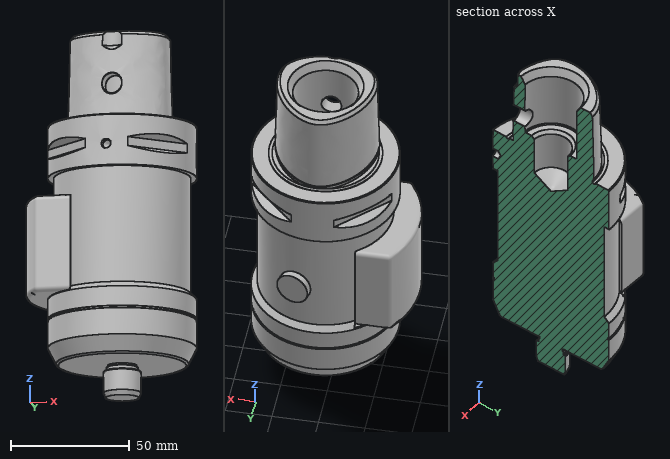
import cadquery as cq
import math


flange_radius = 31.5
flange_edge = 0.4
flange_bottom = -22.0
barrel_radius = 28.95
barrel_bottom = -71.9
collar_top = -74.3
groove_top = -82.7
groove_bottom = -83.6
groove_radius = 30.9
nut_cone_top = -95.0
nut_cone_bottom = -101.7
nut_cone_radius = 28.0
nut_bottom = -102.4
nut_face_radius = 27.0

neck_radius = 6.7
neck_groove_radius = 6.2
neck_groove_bottom = -103.1
neck_groove_edge = 0.3
stub_radius = 8.0
stub_top = -104.9
stub_bottom = -116.3
stub_top_chamfer = 0.5
stub_chamfer_height = 2.1
stub_end_radius = 7.1

shank_height = 38.0
shank_base_radius = 22.1
shank_taper = 0.025
lobe_height = 1.35
shank_tip_height = 1.6
shank_tip_inset = 1.3
undercut_height = 1.8
undercut_depth = 0.3
undercut_top_radius = 23.4
undercut_root_radius = 22.3
root_overlap = 1.0
curve_points = 48

face_groove_inner = 22.6
face_groove_outer = 24.1

mouth_radius = 16.1
mouth_depth = 3.5
bore_radius = 13.9
bore_floor = 8.0
bore_floor_chamfer = 0.5
screw_hole_radius = 9.0
screw_hole_edge = 1.4
screw_hole_floor = -12.0
drill_half_angle = math.radians(59)

notch_radius = 6.0
notch_axis_y = -24.0
notch_floor = 31.9
side_hole_radius = 4.3
side_hole_z = 15.4
side_hole_sink_distance = 20.1
pin_hole_radius = 2.0
pin_hole_z = -12.8
pin_hole_depth = 3.0

gripper_z = -12.0
gripper_floor = 27.8
gripper_floor_width = 3.8
gripper_mouth_width = 7.8
gripper_angles = (45, 135, 225, 315)

pad_radius = 40.6
pad_flat_x = -40.5
pad_half_width = 24.5
pad_top = -32.4
pad_bottom = -73.9
pad_end_x = -17.1
pad_fillet = 2.1

button_radius = 7.1
button_face = 32.66
button_back = 29.5
button_stem_radius = 4.5
button_angle = 75
button_z = -50.9


def revolve(profile):
    """Turn an (r, z) outline around the Z axis."""
    return cq.Workplane("XZ").polyline(profile).close().revolve(360, (0, 0, 0), (0, 1, 0))


def turned_body():
    edge = flange_edge
    return revolve([
        (0, 0),
        (flange_radius - edge, 0),
        (flange_radius, -edge),
        (flange_radius, flange_bottom),
        (barrel_radius, flange_bottom),
        (barrel_radius, barrel_bottom),
        (flange_radius, collar_top),
        (flange_radius, groove_top),
        (groove_radius, groove_top),
        (groove_radius, groove_bottom),
        (flange_radius, groove_bottom),
        (flange_radius, nut_cone_top),
        (nut_cone_radius, nut_cone_bottom),
        (nut_face_radius, nut_bottom),
        (neck_groove_radius, nut_bottom),
        (neck_groove_radius, neck_groove_bottom),
        (neck_radius, neck_groove_bottom - neck_groove_edge),
        (neck_radius, stub_top),
        (stub_radius - stub_top_chamfer, stub_top),
        (stub_radius, stub_top - stub_top_chamfer),
        (stub_radius, stub_bottom + stub_chamfer_height),
        (stub_end_radius, stub_bottom),
        (0, stub_bottom),
    ])


def lobed_wire(radius, z):
    """Constant-width lobed curve: its support function is radius + lobe_height * cos(3 * angle)."""
    points = []
    for i in range(curve_points):
        angle = 2 * math.pi * i / curve_points
        along = radius * math.cos(angle) + lobe_height * (2 * math.cos(2 * angle) - math.cos(4 * angle))
        across = radius * math.sin(angle) - lobe_height * (2 * math.sin(2 * angle) + math.sin(4 * angle))
        points.append(cq.Vector(-across, along, z))
    return cq.Wire.assembleEdges([cq.Edge.makeSpline(points, periodic=True)])


def lobed_loft(radius_low, z_low, radius_high, z_high):
    wires = [lobed_wire(radius_low, z_low), lobed_wire(radius_high, z_high)]
    return cq.Workplane(cq.Solid.makeLoft(wires, True))


def undercut_cone():
    """Conical envelope that trims the three lobes between the taper and the flange face."""
    return revolve([
        (0, -root_overlap),
        (undercut_root_radius, -root_overlap),
        (undercut_root_radius, 0),
        (undercut_top_radius, undercut_height),
        (0, undercut_height),
    ])


def shank():
    shoulder = shank_height - shank_tip_height
    shoulder_radius = shank_base_radius - shank_taper * (shoulder - undercut_height)
    undercut_radius = shank_base_radius - undercut_depth
    root = lobed_loft(undercut_radius, -root_overlap, undercut_radius, undercut_height)
    root = root.intersect(undercut_cone())
    taper = lobed_loft(shank_base_radius, undercut_height, shoulder_radius, shoulder)
    tip = lobed_loft(shoulder_radius, shoulder, shoulder_radius - shank_tip_inset, shank_height)
    return root.union(taper).union(tip)


def face_groove():
    tube_radius = (face_groove_outer - face_groove_inner) / 2
    ring_radius = (face_groove_outer + face_groove_inner) / 2
    section = cq.Workplane("XZ").center(ring_radius, 0).circle(tube_radius)
    return section.revolve(360, (-ring_radius, 0, 0), (-ring_radius, 1, 0))


def bore():
    tip = screw_hole_floor - screw_hole_radius / math.tan(drill_half_angle)
    return revolve([
        (0, shank_height),
        (mouth_radius, shank_height),
        (bore_radius, shank_height - mouth_depth),
        (bore_radius, bore_floor + bore_floor_chamfer),
        (bore_radius - bore_floor_chamfer, bore_floor),
        (screw_hole_radius + screw_hole_edge, bore_floor),
        (screw_hole_radius, bore_floor - screw_hole_edge),
        (screw_hole_radius, screw_hole_floor),
        (0, tip),
    ])


def notch():
    """Vertical drill cut with a conical end, opening the shank tip on the -Y side."""
    cutter = revolve([
        (0, shank_height),
        (notch_radius, shank_height),
        (notch_radius, notch_floor),
        (0, notch_floor - notch_radius),
    ])
    return cutter.translate((0, notch_axis_y, 0))


def drilled_from_front(profile, y, z):
    """Turn an (r, depth) outline and point its depth along +Y from the given start."""
    return revolve(profile).rotate((0, 0, 0), (1, 0, 0), -90).translate((0, y, z))


def side_hole():
    """Radial hole with a countersunk rim through the -Y wall of the shank into the bore."""
    sink = shank_base_radius - side_hole_sink_distance
    return drilled_from_front([
        (0, 0),
        (side_hole_radius + sink, 0),
        (side_hole_radius, sink),
        (side_hole_radius, shank_base_radius),
        (0, shank_base_radius),
    ], -shank_base_radius, side_hole_z)


def pin_hole():
    """Blind drilled hole in the -Y side of the flange."""
    tip = pin_hole_depth + pin_hole_radius / math.tan(drill_half_angle)
    return drilled_from_front([
        (0, 0),
        (pin_hole_radius, 0),
        (pin_hole_radius, pin_hole_depth),
        (0, tip),
    ], -flange_radius, pin_hole_z)


def gripper_groove(angle):
    """Straight trapezoidal groove cut across the flange at the given angle."""
    half_floor = gripper_floor_width / 2
    half_mouth = gripper_mouth_width / 2
    outline = [
        (gripper_floor, gripper_z - half_floor),
        (flange_radius, gripper_z - half_mouth),
        (flange_radius, gripper_z + half_mouth),
        (gripper_floor, gripper_z + half_floor),
    ]
    groove = cq.Workplane("XZ").polyline(outline).close().extrude(flange_radius, both=True)
    return groove.rotate((0, 0, 0), (0, 0, 1), angle)


def pad_slab(x_min, x_max, half_width, z_max):
    """Box resting on the pad bottom level, symmetric about the XZ plane."""
    base = cq.Workplane("XY").workplane(offset=pad_bottom)
    outline = base.center((x_min + x_max) / 2, 0).rect(x_max - x_min, 2 * half_width)
    return outline.extrude(z_max - pad_bottom)


def pad():
    """Cylinder segment with rounded edges and a narrow flat on its outermost line."""
    base = cq.Workplane("XY").workplane(offset=pad_bottom)
    cylinder = base.circle(pad_radius).extrude(pad_top - pad_bottom)
    block = cylinder.intersect(pad_slab(-pad_radius, pad_end_x, pad_half_width, pad_top))
    block = block.edges("not >X").fillet(pad_fillet)
    return block.intersect(pad_slab(pad_flat_x, pad_end_x, pad_half_width, pad_top))


def collar_relief():
    """Clearance that removes the collar cone beside the pad, outside the barrel."""
    clearance = pad_slab(-flange_radius, pad_end_x, flange_radius, barrel_bottom)
    barrel = cq.Workplane("XY").workplane(offset=collar_top).circle(barrel_radius)
    return clearance.cut(barrel.extrude(barrel_bottom - collar_top))


def button():
    """Disc held just off the barrel on a thinner stem."""
    centre = cq.Workplane("YZ").center(0, button_z)
    stem = centre.circle(button_stem_radius).extrude(button_face)
    disc = centre.workplane(offset=button_back).circle(button_radius).extrude(button_face - button_back)
    return stem.union(disc).rotate((0, 0, 0), (0, 0, 1), button_angle)


result = turned_body().cut(face_groove()).union(shank()).cut(collar_relief()).union(pad()).union(button())
result = result.cut(bore()).cut(notch()).cut(side_hole()).cut(pin_hole())
for groove_angle in gripper_angles:
    result = result.cut(gripper_groove(groove_angle))